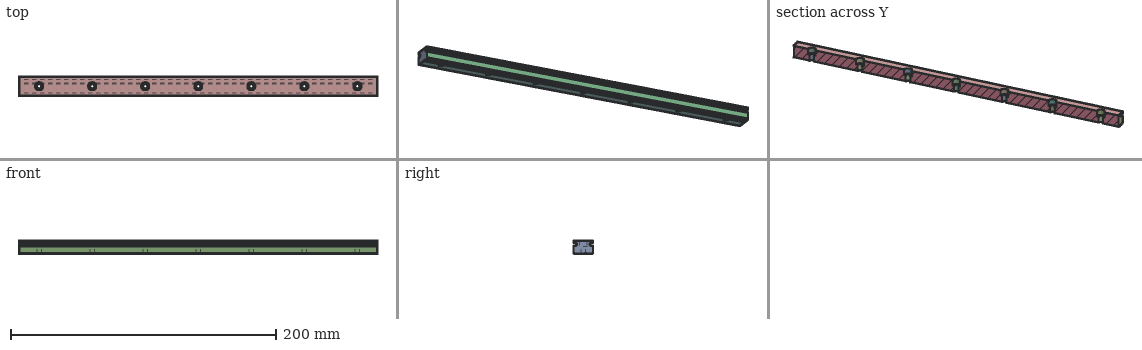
import cadquery as cq
import math

LENGTH = 270.0
WIDTH = 15.0
HEIGHT = 10.0
SIDE = WIDTH / 2
TOP_CHAMFER = 0.5
BOTTOM_CHAMFER = 0.8

TRACK_HEIGHT = 7.1
TRACK_DEPTH = 2.55
ARC_RADIUS = 1.1
ARC_CENTRE_OFFSET = 0.16
LIP_WIDTH = 0.7
LIP_HALF_OPENING = 1.5

MARK_OFFSET = 1.9
MARK_WIDTH = 0.8
MARK_DEPTH = 0.4

HOLE_PITCH = 40.0
HOLE_COUNT = 7
BORE_DIAMETER = 3.5
COUNTERBORE_DIAMETER = 6.0
COUNTERBORE_DEPTH = 4.5


def rail_blank():
    """Rectangular bar with chamfered long edges, centred on X and Y and resting on Z = 0."""
    outline = [
        (SIDE - BOTTOM_CHAMFER, 0),
        (SIDE, BOTTOM_CHAMFER),
        (SIDE, HEIGHT - TOP_CHAMFER),
        (SIDE - TOP_CHAMFER, HEIGHT),
    ]
    mirrored = [(-y, z) for y, z in reversed(outline)]
    return (
        cq.Workplane("YZ")
        .polyline(outline + mirrored)
        .close()
        .extrude(LENGTH / 2, both=True)
    )


def track_cutter():
    """Full-length cutter for the +Y ball track: flared lips, flat walls and a gothic-arch floor."""
    floor_angle = math.asin(ARC_CENTRE_OFFSET / ARC_RADIUS)
    middle_angle = (floor_angle + math.pi / 2) / 2
    floor_y = SIDE - TRACK_DEPTH
    arc_centre_y = floor_y + ARC_RADIUS * math.cos(floor_angle)
    half_height = ARC_RADIUS - ARC_CENTRE_OFFSET
    middle_y = arc_centre_y - ARC_RADIUS * math.cos(middle_angle)
    middle_rise = ARC_RADIUS * math.sin(middle_angle) - ARC_CENTRE_OFFSET
    lip_y = SIDE - LIP_WIDTH

    return (
        cq.Workplane("YZ")
        .moveTo(SIDE, TRACK_HEIGHT - LIP_HALF_OPENING)
        .lineTo(lip_y, TRACK_HEIGHT - half_height)
        .lineTo(arc_centre_y, TRACK_HEIGHT - half_height)
        .threePointArc((middle_y, TRACK_HEIGHT - middle_rise), (floor_y, TRACK_HEIGHT))
        .threePointArc(
            (middle_y, TRACK_HEIGHT + middle_rise),
            (arc_centre_y, TRACK_HEIGHT + half_height),
        )
        .lineTo(lip_y, TRACK_HEIGHT + half_height)
        .lineTo(SIDE, TRACK_HEIGHT + LIP_HALF_OPENING)
        .close()
        .extrude(LENGTH / 2, both=True)
    )


def marking_groove():
    """Cutter for the shallow groove running the full length of the underside."""
    return (
        cq.Workplane("XY")
        .center(0, MARK_OFFSET)
        .box(LENGTH, MARK_WIDTH, MARK_DEPTH, centered=(True, True, False))
    )


def add_mounting_holes(rail):
    """Row of counterbored through holes, sunk from the top along the centreline."""
    return (
        rail.faces(">Z")
        .workplane(origin=(0, 0, HEIGHT))
        .rarray(HOLE_PITCH, 1, HOLE_COUNT, 1)
        .cboreHole(BORE_DIAMETER, COUNTERBORE_DIAMETER, COUNTERBORE_DEPTH)
    )


track = track_cutter()
rail = rail_blank().cut(track).cut(track.mirror("XZ")).cut(marking_groove())
result = add_mounting_holes(rail)